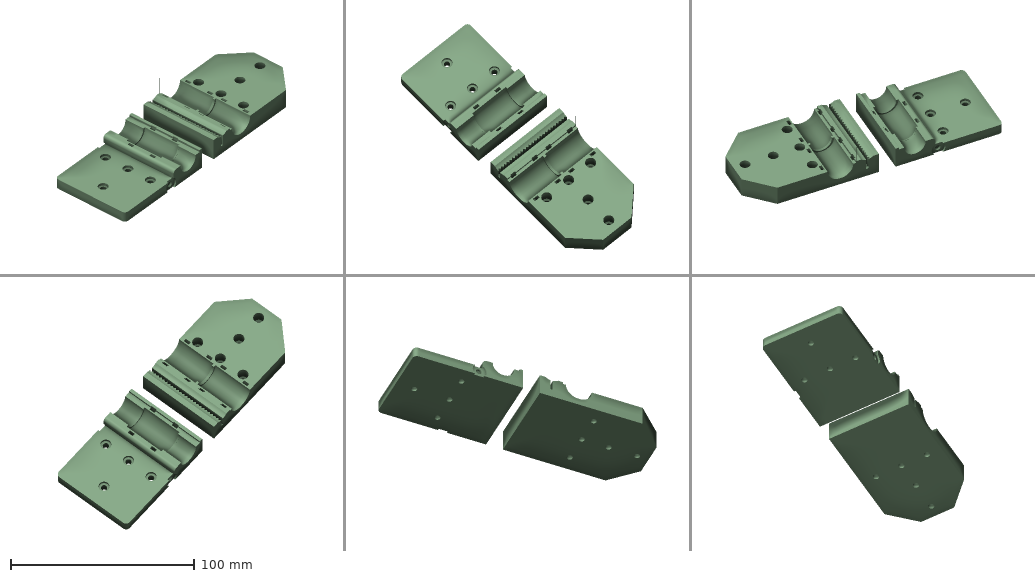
import cadquery as cq
import math

width = 50.0
half_width = width / 2
gap = 10.0
split_height = 11.8
ridge_height = 13.1
over = 1.0

narrow_axis_height = 11.4
narrow_radius = 6.35
wide_radius = 7.5
wide_floor_width = 0.5

tie_inner_radius = 8.5
tie_outer_radius = 10.3
tie_width = 3.5
tie_spread = 7.8

screw_diameter = 3.4
head_diameter = 6.0
screw_pitch = 16.0

block_length = 76.0
block_front = gap / 2
block_back = block_front + block_length
block_corner = half_width * (2 - math.sqrt(2))
block_tube_y = block_front + 23.25
block_step_y = block_front + 13.75
collar_width = 1.5
block_pair_offset = 12.8
block_head_depth = 7.5
block_screw_row_y = block_front + 36.0
block_screw_middle_y = block_screw_row_y + screw_pitch
block_screw_end_y = block_screw_middle_y + 17.0

trough_y = block_front + 7.1
trough_half_width = 3.75
trough_depth = 1.35

belt_slot_back_y = block_front + 7.75
belt_slot_width = 1.4
belt_slot_floor = 5.2
tooth_pitch = 2.0
tooth_depth = 1.0

needle_size = 0.05
needle_top = 23.38

flap_length = 65.0
flap_back = -gap / 2
flap_front = flap_back - flap_length
flap_tube_y = flap_back - 11.75
flap_ridge_width = 2.0
flap_body_depth = 24.0
flap_plate_thickness = 6.35
flap_nose_radius = 2.25
flap_corner_radius = 2.5
flap_relief_length = 24.5
flap_collar_width = 0.9
flap_entry_radius = narrow_radius + 0.05
flap_head_depth = 1.5
flap_screw_row_y = flap_back - 33.0
flap_screw_end_y = flap_screw_row_y - 21.0

hinge_y = flap_back - 26.0
hinge_height = flap_plate_thickness / 2
hinge_recess_diameter = 8.3
hinge_recess_depth = 1.1
hinge_hole_depth = 1.2


def side_sketch(x):
    """Workplane at x whose local axes are Y and Z and whose normal is +X."""
    return cq.Workplane("YZ", origin=(x, 0, 0))


def narrow_channel(tube_y, radius, x_start, x_end):
    """U-shaped channel along X: a round bottom with upright walls above its axis."""
    length = x_end - x_start
    round_part = (
        side_sketch(x_start)
        .center(tube_y, narrow_axis_height)
        .circle(radius)
        .extrude(length)
    )
    open_part = (
        side_sketch(x_start)
        .center(tube_y, narrow_axis_height + radius / 2)
        .rect(2 * radius, radius)
        .extrude(length)
    )
    return round_part.union(open_part)


def wide_channel(tube_y, x_start, x_end):
    """Relieved channel along X: two quarter rounds joined by a narrow flat floor."""
    half_floor = wide_floor_width / 2
    half_top = half_floor + wide_radius
    floor_height = split_height - wide_radius
    return (
        side_sketch(x_start)
        .moveTo(tube_y - half_top, split_height)
        .radiusArc((tube_y - half_floor, floor_height), -wide_radius)
        .lineTo(tube_y + half_floor, floor_height)
        .radiusArc((tube_y + half_top, split_height), -wide_radius)
        .close()
        .extrude(x_end - x_start)
    )


def tie_ring(tube_y, x):
    """Ring-shaped tunnel around the tube for one cable tie."""
    return (
        side_sketch(x - tie_width / 2)
        .center(tube_y, split_height)
        .circle(tie_outer_radius)
        .circle(tie_inner_radius)
        .extrude(tie_width)
    )


def screw_hole(x, y, top, head_depth):
    """Through hole with a counterbore for the screw head."""
    shank = cq.Workplane("XY", origin=(x, y, -over)).circle(screw_diameter / 2).extrude(top + 2 * over)
    head = cq.Workplane("XY", origin=(x, y, top - head_depth)).circle(head_diameter / 2).extrude(top)
    return shank.union(head)


def belt_slot():
    """Narrow slot along X whose front wall carries belt teeth."""
    tooth_count = round(width / tooth_pitch)
    tip_y = belt_slot_back_y - belt_slot_width
    outline = [(-half_width, belt_slot_back_y), (-half_width, tip_y)]
    for index in range(tooth_count):
        start = -half_width + index * tooth_pitch
        outline.append((start + tooth_pitch / 2, tip_y - tooth_depth))
        outline.append((start + tooth_pitch, tip_y))
    outline.append((half_width, belt_slot_back_y))
    return (
        cq.Workplane("XY", origin=(0, 0, belt_slot_floor))
        .polyline(outline)
        .close()
        .extrude(ridge_height)
    )


def make_block():
    body = (
        side_sketch(-half_width)
        .moveTo(block_front, 0)
        .lineTo(block_front, ridge_height)
        .lineTo(trough_y - trough_half_width, ridge_height)
        .threePointArc(
            (trough_y, ridge_height - trough_depth),
            (trough_y + trough_half_width, ridge_height),
        )
        .lineTo(block_step_y, ridge_height)
        .lineTo(block_step_y, split_height)
        .lineTo(block_back, split_height)
        .lineTo(block_back, 0)
        .close()
        .extrude(width)
    )
    body = body.edges("|Z and >Y").chamfer(block_corner)
    body = body.cut(narrow_channel(block_tube_y, narrow_radius, -half_width, half_width))
    for x_start, x_end in ((-half_width, -collar_width / 2), (collar_width / 2, half_width)):
        body = body.cut(wide_channel(block_tube_y, x_start, x_end))
    for pair_x in (-block_pair_offset, block_pair_offset):
        for x in (pair_x - tie_spread, pair_x + tie_spread):
            body = body.cut(tie_ring(block_tube_y, x))
    screws = [(x, block_screw_row_y) for x in (-screw_pitch, 0, screw_pitch)]
    screws += [(0, block_screw_middle_y), (0, block_screw_end_y)]
    for x, y in screws:
        body = body.cut(screw_hole(x, y, split_height, block_head_depth))
    body = body.cut(belt_slot())
    needle = cq.Workplane("XY").box(needle_size, needle_size, needle_top, centered=False)
    needle = needle.translate((-half_width, block_step_y - needle_size, 0))
    return body.union(needle)


def make_flap():
    nose_y = flap_back - flap_body_depth
    body = (
        side_sketch(-half_width)
        .moveTo(flap_back, 0)
        .lineTo(flap_back, ridge_height)
        .lineTo(flap_back - flap_ridge_width, ridge_height)
        .lineTo(flap_back - flap_ridge_width, split_height)
        .lineTo(nose_y + flap_nose_radius, split_height)
        .radiusArc((nose_y, split_height - flap_nose_radius), -flap_nose_radius)
        .lineTo(nose_y, flap_plate_thickness)
        .lineTo(flap_front, flap_plate_thickness)
        .lineTo(flap_front, 0)
        .close()
        .extrude(width)
    )
    body = body.edges("|Z and <Y").fillet(flap_corner_radius)
    relief_end = flap_relief_length / 2
    collar_end = relief_end + flap_collar_width
    body = body.cut(narrow_channel(flap_tube_y, narrow_radius, -collar_end, collar_end))
    body = body.cut(wide_channel(flap_tube_y, -relief_end, relief_end))
    for x_start, x_end in ((-half_width, -collar_end), (collar_end, half_width)):
        body = body.cut(narrow_channel(flap_tube_y, flap_entry_radius, x_start, x_end))
    for x in (-tie_spread, tie_spread):
        body = body.cut(tie_ring(flap_tube_y, x))
    screws = [(x, flap_screw_row_y) for x in (-screw_pitch, 0, screw_pitch)]
    screws.append((0, flap_screw_end_y))
    for x, y in screws:
        body = body.cut(screw_hole(x, y, flap_plate_thickness, flap_head_depth))
    for side in (-1, 1):
        face = side_sketch(side * half_width).center(hinge_y, hinge_height)
        body = body.cut(face.circle(hinge_recess_diameter / 2).extrude(-side * hinge_recess_depth))
        hole_depth = hinge_recess_depth + hinge_hole_depth
        body = body.cut(face.circle(screw_diameter / 2).extrude(-side * hole_depth))
    return body


block = make_block()
flap = make_flap()
result = cq.Compound.makeCompound([block.val(), flap.val()])